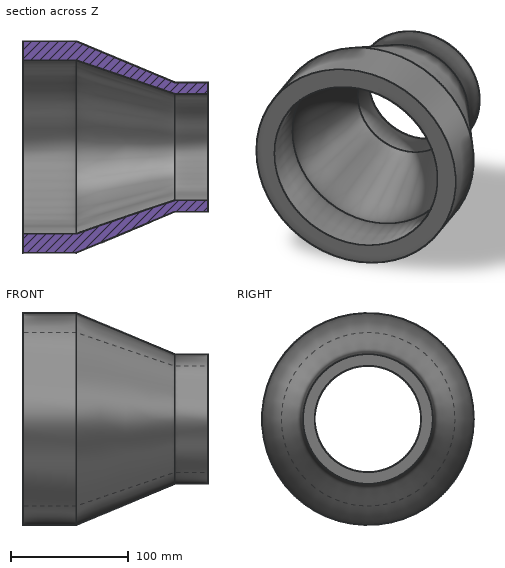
import cadquery as cq

total_length = 157.0
wide_length = 45.0
narrow_length = 28.0
taper_end = total_length - narrow_length

wide_outer_diameter = 180.0
wide_bore_diameter = 147.2
narrow_outer_diameter = 110.0
narrow_bore_diameter = 90.0


def stepped_taper(wide_diameter, narrow_diameter):
    """Solid of revolution: wide cylinder, cone, then narrow cylinder."""
    wide_radius = wide_diameter / 2
    narrow_radius = narrow_diameter / 2
    return (
        cq.Workplane("XY")
        .moveTo(0, 0)
        .lineTo(0, wide_radius)
        .lineTo(wide_length, wide_radius)
        .lineTo(taper_end, narrow_radius)
        .lineTo(total_length, narrow_radius)
        .lineTo(total_length, 0)
        .close()
        .revolve(360, (0, 0, 0), (1, 0, 0))
    )


outer_body = stepped_taper(wide_outer_diameter, narrow_outer_diameter)
bore = stepped_taper(wide_bore_diameter, narrow_bore_diameter)

result = outer_body.cut(bore)